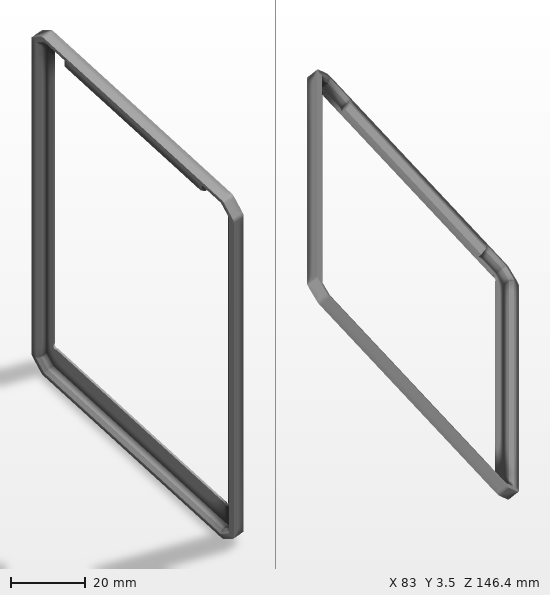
import cadquery as cq

width = 83.0
depth = 3.5
height = 146.4
corner_cut = 4.4
corner_round = 1.8

floor_thickness = 0.6
side_rim = 1.9
end_rim = 1.5
recess_corner_cut = 3.4
rim_bevel = 1.0

window_side_margin = 5.7
window_top_margin = 5.7
window_bottom_margin = 10.7
relief_radius = 0.9
relief_inset = 0.6

tab_width = 55.9
tab_bevel = 1.6

front_y = -depth / 2
back_y = depth / 2
window_width = width - 2 * window_side_margin
window_top = height / 2 - window_top_margin
window_bottom = -height / 2 + window_bottom_margin


def block(size_x, size_z, start_y, end_y):
    """Rectangular block centred in X and Z between two Y positions."""
    length_y = end_y - start_y
    return cq.Workplane("XY").box(size_x, length_y, size_z).translate((0, (start_y + end_y) / 2, 0))


def make_body():
    body = block(width, height, front_y, back_y).edges("|Y").chamfer(corner_cut)
    return body.edges("|Y").fillet(corner_round)


def make_recess():
    recess_width = width - 2 * (side_rim + rim_bevel)
    recess_height = height - 2 * (end_rim + rim_bevel)
    floor_y = back_y - floor_thickness
    mouth_width = recess_width + 2 * rim_bevel
    mouth_height = recess_height + 2 * rim_bevel
    recess = block(mouth_width, mouth_height, front_y, floor_y)
    recess = recess.edges("|Y").chamfer(recess_corner_cut)
    outline = recess.faces("<Y").wires().val()
    mouth_face = cq.Workplane(cq.Face.makeFromWires(outline))
    inner_wire = mouth_face.wires().val().offset2D(-rim_bevel)[0]
    bevel_end = inner_wire.translate(cq.Vector(0, rim_bevel, 0))
    bevel = cq.Solid.makeLoft([outline, bevel_end], True)
    well_length = floor_y - front_y
    well = cq.Solid.extrudeLinear(inner_wire, [], cq.Vector(0, well_length, 0))
    return cq.Workplane(well).union(cq.Workplane(bevel))


def make_window():
    window_height = window_top - window_bottom
    center_z = (window_top + window_bottom) / 2
    window = block(window_width, window_height, front_y, back_y).translate((0, 0, center_z))
    relief_x = window_width / 2 - relief_inset
    relief_points = [
        (side * relief_x, z)
        for side in (-1, 1)
        for z in (window_bottom + relief_inset, window_top - relief_inset)
    ]
    reliefs = (
        cq.Workplane("XZ", origin=(0, back_y, 0))
        .pushPoints(relief_points)
        .circle(relief_radius)
        .extrude(depth)
    )
    return window.union(reliefs)


def make_tab():
    tab_top = height / 2 - end_rim / 2
    profile = [
        (front_y, tab_top),
        (back_y, tab_top),
        (back_y, window_top),
        (front_y + tab_bevel, window_top),
        (front_y, window_top + tab_bevel),
    ]
    return cq.Workplane("YZ").polyline(profile).close().extrude(tab_width / 2, both=True)


result = make_body().cut(make_recess()).cut(make_window()).union(make_tab())